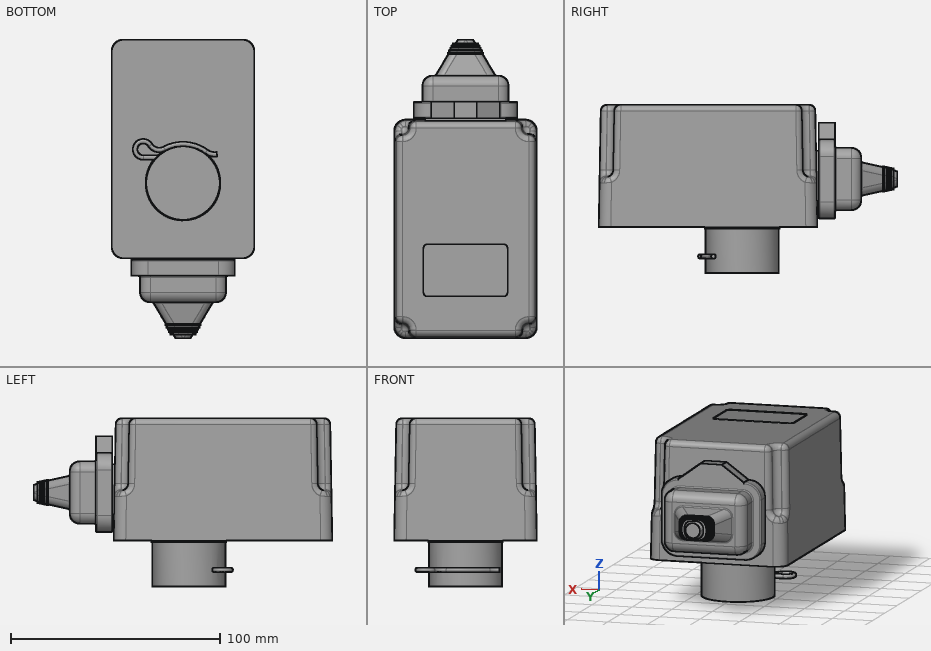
import cadquery as cq
import math

TOLERANCE = 0.01
OVERLAP = 0.5

BOX_WIDTH = 68.3
BOX_LENGTH = 104.6
BOX_HEIGHT = 58.5
DRAFT = 1.0
BOX_CORNER_RADIUS = 5.7
EDGE_RADIUS = 3.0

RECESS_DEPTH = 6.5
RECESS_RADIUS = 3.4
RECESS_FLOOR_Z = 24.0
RECESS_TOOL_SIZE = 40.0

LABEL_WIDTH = 40.2
LABEL_LENGTH = 25.0
LABEL_CENTRE_Y = -19.8
LABEL_RADIUS = 2.0
LABEL_DEPTH = 0.3

SPIGOT_RADIUS = 17.55
SPIGOT_LENGTH = 22.0
SPIGOT_CENTRE_Y = 16.3
SPIGOT_COLLAR_RADIUS = 17.9
SPIGOT_COLLAR_LENGTH = 0.8

CLIP_Z = -14.0
WIRE_RADIUS = 1.1
EYE_CENTRE = (-19.0, 0.2)
EYE_RADIUS = 3.9
HUMP_RADIUS = 5.2
FLARE_RADIUS = 7.0
FLARE_START_X = 11.0
FLARE_TURN = 45.0
CLIP_LEG_END_X = 10.0

CONNECTOR_Z = 23.0
CONNECTOR_REACH = 38.2
TIP_Y = BOX_LENGTH / 2 + CONNECTOR_REACH
NECK_WIDTH = 38.7
NECK_HEIGHT = 27.0
NECK_LENGTH = 3.0
FLANGE_BACK_Y = 52.9
FLANGE_THICKNESS = 7.8
FLANGE_WIDTH = 49.7
FLANGE_HEIGHT = 37.8
FLANGE_CORNER_RADIUS = 8.0
FLANGE_EDGE_RADIUS = 0.6
TAB_BASE_WIDTH = 32.7
TAB_TOP_WIDTH = 10.8
TAB_TOP_Z = 49.9
BODY_WIDTH = 41.2
BODY_HEIGHT = 29.9
BODY_LENGTH = 12.6
BODY_CORNER_RADIUS = 5.0
BODY_END_RADIUS = 4.9
ROOT_RADIUS = 0.6

RELIEF_CORNER_RADIUS = 3.9
CONE_BASE_SIZE = (28.6, 16.1)
CONE_END_SIZE = (16.6, 11.6)
RIB_COUNT = 5
RIB_PITCH = 1.12
RIB_THICKNESS = 0.8
RIB_FIRST_SIZE = (17.2, 12.0)
RIB_LAST_SIZE = (12.2, 10.2)
GROOVE_INSET = 0.5
COLLAR_LENGTH = 1.8
COLLAR_BASE_SIZE = (9.4, 8.6)
COLLAR_TIP_SIZE = (7.2, 7.2)
COLLAR_CORNER_RADIUS = 3.5

FLANGE_FRONT_Y = FLANGE_BACK_Y + FLANGE_THICKNESS
BODY_FRONT_Y = FLANGE_FRONT_Y + BODY_LENGTH


def corner_recess(side_x, side_y):
    """Tool for one corner recess; its inner walls follow the draft of the housing."""
    setback = BOX_HEIGHT * math.tan(math.radians(DRAFT))
    inner_x = BOX_WIDTH / 2 - setback - RECESS_DEPTH
    inner_y = BOX_LENGTH / 2 - setback - RECESS_DEPTH
    centre_x = side_x * (inner_x + RECESS_TOOL_SIZE / 2)
    centre_y = side_y * (inner_y + RECESS_TOOL_SIZE / 2)
    tool = (
        cq.Workplane("XY", origin=(centre_x, centre_y, BOX_HEIGHT))
        .rect(RECESS_TOOL_SIZE, RECESS_TOOL_SIZE)
        .extrude(RECESS_FLOOR_Z - BOX_HEIGHT, taper=DRAFT)
    )
    inner_corner = tool.vertices("<Z").vertices(cq.NearestToPointSelector((0, 0, RECESS_FLOOR_Z)))
    return tool.newObject(inner_corner.ancestors("Edge").vals()).fillet(RECESS_RADIUS)


def housing():
    """Drafted box with corner recesses, its top and recess rims rounded, and the label pocket."""
    plain_box = (
        cq.Workplane("XY")
        .rect(BOX_WIDTH, BOX_LENGTH)
        .extrude(BOX_HEIGHT, taper=DRAFT)
        .edges("not(|X or |Y)")
        .fillet(BOX_CORNER_RADIUS)
    )
    box = plain_box
    for side_x in (-1, 1):
        for side_y in (-1, 1):
            box = box.cut(corner_recess(side_x, side_y))

    skin = plain_box.val().Shells()[0]
    rims = [
        edge for edge in box.edges().vals()
        if edge.BoundingBox().zmin > EDGE_RADIUS
        and skin.distance(cq.Vertex.makeVertex(*edge.positionAt(0.5).toTuple())) < TOLERANCE
    ]
    box = box.newObject(rims).fillet(EDGE_RADIUS)

    pocket = (
        cq.Workplane("XY", origin=(0, LABEL_CENTRE_Y, BOX_HEIGHT - LABEL_DEPTH))
        .rect(LABEL_WIDTH, LABEL_LENGTH)
        .extrude(EDGE_RADIUS)
        .edges("|Z")
        .fillet(LABEL_RADIUS)
    )
    return box.cut(pocket)


def spigot():
    """Round spigot under the housing with a thin collar at its root; both start inside the housing."""
    tube = (
        cq.Workplane("XY", origin=(0, SPIGOT_CENTRE_Y, -SPIGOT_LENGTH))
        .circle(SPIGOT_RADIUS)
        .extrude(SPIGOT_LENGTH + OVERLAP)
    )
    collar = (
        cq.Workplane("XY", origin=(0, SPIGOT_CENTRE_Y, -SPIGOT_COLLAR_LENGTH))
        .circle(SPIGOT_COLLAR_RADIUS)
        .extrude(SPIGOT_COLLAR_LENGTH + OVERLAP)
    )
    return tube.union(collar)


def on_circle(centre, radius, angle):
    return (centre[0] + radius * math.cos(angle), centre[1] + radius * math.sin(angle))


def heading(start, end):
    return math.atan2(end[1] - start[1], end[0] - start[0])


def wire_clip():
    """R-shaped wire clip: straight leg into the spigot, round eye, and a wavy leg hugging the spigot."""
    spigot_centre = (0, SPIGOT_CENTRE_Y)
    hug_radius = SPIGOT_RADIUS + WIRE_RADIUS

    base = math.dist(EYE_CENTRE, spigot_centre)
    eye_side = EYE_RADIUS + HUMP_RADIUS
    hug_side = hug_radius + HUMP_RADIUS
    eye_angle = math.acos((base**2 + eye_side**2 - hug_side**2) / (2 * base * eye_side))
    eye_to_hump = heading(EYE_CENTRE, spigot_centre) - eye_angle
    hump_centre = on_circle(EYE_CENTRE, eye_side, eye_to_hump)
    hug_start = heading(spigot_centre, hump_centre)
    hump_middle = (eye_to_hump + math.pi + hug_start + math.pi) / 2

    hug_end = -math.acos(FLARE_START_X / hug_radius)
    flare_centre = on_circle(spigot_centre, hug_radius + FLARE_RADIUS, hug_end)
    flare_start = hug_end + math.pi
    flare_turn = math.radians(FLARE_TURN)

    path = (
        cq.Workplane("XY", origin=(0, 0, CLIP_Z))
        .moveTo(CLIP_LEG_END_X, EYE_CENTRE[1] + EYE_RADIUS)
        .lineTo(EYE_CENTRE[0], EYE_CENTRE[1] + EYE_RADIUS)
        .threePointArc(
            on_circle(EYE_CENTRE, EYE_RADIUS, math.pi),
            on_circle(EYE_CENTRE, EYE_RADIUS, eye_to_hump),
        )
        .threePointArc(
            on_circle(hump_centre, HUMP_RADIUS, hump_middle),
            on_circle(spigot_centre, hug_radius, hug_start),
        )
        .threePointArc(
            on_circle(spigot_centre, hug_radius, (hug_start + hug_end) / 2),
            on_circle(spigot_centre, hug_radius, hug_end),
        )
        .threePointArc(
            on_circle(flare_centre, FLARE_RADIUS, flare_start - flare_turn / 2),
            on_circle(flare_centre, FLARE_RADIUS, flare_start - flare_turn),
        )
    )
    leg_end = (CLIP_LEG_END_X, EYE_CENTRE[1] + EYE_RADIUS, CLIP_Z)
    return cq.Workplane("YZ", origin=leg_end).circle(WIRE_RADIUS).sweep(path)


def connector_plane(y):
    """Sketch plane across the connector axis at the given Y, facing +Y with sketch up along Z."""
    return cq.Workplane(cq.Plane(origin=(0, y, CONNECTOR_Z), xDir=(-1, 0, 0), normal=(0, 1, 0)))


def rounded_plate(y, length, size, radius):
    return connector_plane(y).rect(*size).extrude(length).edges("|Y").fillet(radius)


def rounded_taper(y, length, base_size, end_size, radius):
    base = cq.Sketch().rect(*base_size).vertices().fillet(radius)
    end = cq.Sketch().rect(*end_size).vertices().fillet(radius)
    return connector_plane(y).placeSketch(base, end.moved(cq.Location(cq.Vector(0, 0, length)))).loft()


def flange():
    """Rounded flange with a gable-shaped tab on top, joined to the housing by a short neck."""
    flange_size = (FLANGE_WIDTH, FLANGE_HEIGHT)
    plate = rounded_plate(FLANGE_BACK_Y, FLANGE_THICKNESS, flange_size, FLANGE_CORNER_RADIUS)
    plate = plate.faces("<Y or >Y").edges().fillet(FLANGE_EDGE_RADIUS)
    tab_height = TAB_TOP_Z - CONNECTOR_Z
    tab = (
        connector_plane(FLANGE_BACK_Y)
        .moveTo(-TAB_BASE_WIDTH / 2, 0)
        .lineTo(TAB_BASE_WIDTH / 2, 0)
        .lineTo(TAB_BASE_WIDTH / 2, FLANGE_HEIGHT / 2)
        .lineTo(TAB_TOP_WIDTH / 2, tab_height)
        .lineTo(-TAB_TOP_WIDTH / 2, tab_height)
        .lineTo(-TAB_BASE_WIDTH / 2, FLANGE_HEIGHT / 2)
        .close()
        .extrude(FLANGE_THICKNESS)
    )
    neck_start = FLANGE_BACK_Y - NECK_LENGTH
    neck = connector_plane(neck_start).rect(NECK_WIDTH, NECK_HEIGHT).extrude(NECK_LENGTH + OVERLAP)
    return plate.union(tab).union(neck)


def connector_body():
    size = (BODY_WIDTH, BODY_HEIGHT)
    body = rounded_plate(FLANGE_FRONT_Y - OVERLAP, BODY_LENGTH + OVERLAP, size, BODY_CORNER_RADIUS)
    return body.faces(">Y").edges().fillet(BODY_END_RADIUS)


def strain_relief():
    """Flattened cone, then ribs that shrink toward the tip, then a short tapered collar."""
    collar_y = TIP_Y - COLLAR_LENGTH
    ribs_y = collar_y - (RIB_COUNT - 1) * RIB_PITCH - RIB_THICKNESS
    relief = rounded_taper(
        BODY_FRONT_Y, ribs_y - BODY_FRONT_Y, CONE_BASE_SIZE, CONE_END_SIZE, RELIEF_CORNER_RADIUS
    )
    for i in range(RIB_COUNT):
        share = i / (RIB_COUNT - 1)
        size = [first + share * (last - first) for first, last in zip(RIB_FIRST_SIZE, RIB_LAST_SIZE)]
        rib_y = ribs_y + i * RIB_PITCH
        relief = relief.union(rounded_plate(rib_y, RIB_THICKNESS, size, RELIEF_CORNER_RADIUS))
        if i < RIB_COUNT - 1:
            core_size = [side - 2 * GROOVE_INSET for side in size]
            core = rounded_plate(rib_y, RIB_PITCH, core_size, RELIEF_CORNER_RADIUS - GROOVE_INSET)
            relief = relief.union(core)
    collar = rounded_taper(
        collar_y, COLLAR_LENGTH, COLLAR_BASE_SIZE, COLLAR_TIP_SIZE, COLLAR_CORNER_RADIUS
    )
    return relief.union(collar)


def connector():
    """Flange, body and strain relief, with small root fillets at both ends of the body."""
    shape = flange().union(connector_body()).union(strain_relief())
    span_x = BODY_WIDTH / 2 + TOLERANCE
    span_z = BODY_HEIGHT / 2 + TOLERANCE
    for y in (FLANGE_FRONT_Y, BODY_FRONT_Y):
        roots = cq.selectors.BoxSelector(
            (-span_x, y - TOLERANCE, CONNECTOR_Z - span_z),
            (span_x, y + TOLERANCE, CONNECTOR_Z + span_z),
            boundingbox=True,
        )
        shape = shape.edges(roots).fillet(ROOT_RADIUS)
    return shape


result = housing().union(spigot()).union(wire_clip()).union(connector())